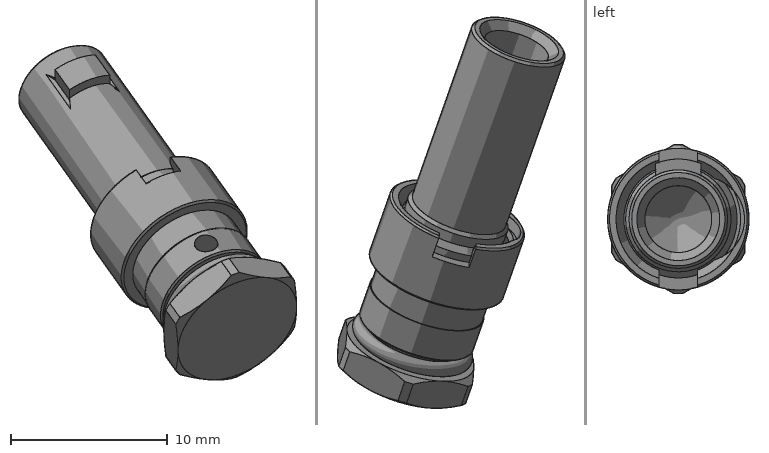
import cadquery as cq
import math

TOTAL_LENGTH = 24.63

TUBE_RADIUS = 3.14
TUBE_END = 12.49
TIP_CHAMFER = 0.17
BORE_RADIUS = 2.13
BORE_DEPTH = 21.5
BORE_TIP_ANGLE = 118.0
MOUTH_RADIUS = 2.64
MOUTH_DEPTH = MOUTH_RADIUS - BORE_RADIUS

SHOULDER_RADIUS = 3.36
SHOULDER_START = TUBE_END + SHOULDER_RADIUS - TUBE_RADIUS
CONE_START = 13.38
CORE_RADIUS = 3.75
CONE_END = CONE_START + CORE_RADIUS - SHOULDER_RADIUS

COLLAR_START = 12.77
COLLAR_END = 17.32
COLLAR_RADIUS = 9.03 / 2
COLLAR_CHAMFER = 0.13
CAVITY_MOUTH_RADIUS = 3.97
CAVITY_FLOOR_RADIUS = 3.47
CAVITY_END = CONE_START + CAVITY_FLOOR_RADIUS - SHOULDER_RADIUS
KEY_SLOT_WIDTH = 2.47
KEY_SLOT_END = 14.25
SIDE_POCKET_OFFSET = 1.5
SIDE_POCKET_RADIUS = 2.72

BAND_START = 19.18
BAND_END = 21.45
BAND_RADIUS = 3.82
BAND_CHAMFER = 0.12
NECK_RADIUS = 3.2
HOLE_X = 20.27
HOLE_DIAMETER = 1.48
HOLE_DEPTH = BAND_RADIUS

HEX_LENGTH = 2.0
HEX_START = TOTAL_LENGTH - HEX_LENGTH
HEX_FLATS = 8.5
HEX_CORNER_DIAMETER = 9.5
HEX_CHAMFER = 0.3
RING_SECTION_RADIUS = 0.485
RING_OUTER_RADIUS = 4.0
RING_BEDDING = 0.02

LUG_START = 1.93
LUG_END = 3.96
LUG_WIDTH = 2.88
LUG_RADIUS = 3.83
FLAT_START = 1.25
FLAT_END = 4.71
FLAT_WIDTH = 3.48
FLAT_HEIGHT = math.sqrt(TUBE_RADIUS**2 - (FLAT_WIDTH / 2) ** 2)


def revolve(points):
    """Turn a closed (x, radius) outline about the X axis."""
    profile = cq.Workplane("XY").polyline(points).close()
    return profile.revolve(360, (0, 0, 0), (1, 0, 0))


def cylinder(start, end, radius):
    """Solid cylinder on the X axis between two stations."""
    return cq.Workplane("YZ").workplane(offset=start).circle(radius).extrude(end - start)


def block(x_range, y_range, z_range):
    """Axis-aligned box between the given limits."""
    limits = (x_range, y_range, z_range)
    sizes = [high - low for low, high in limits]
    corner = [low for low, high in limits]
    return cq.Workplane("XY").box(*sizes, centered=False).translate(tuple(corner))


def core():
    """Tube, shoulder, cone, band and neck as one turned piece."""
    return revolve([
        (0, 0),
        (0, TUBE_RADIUS - TIP_CHAMFER),
        (TIP_CHAMFER, TUBE_RADIUS),
        (TUBE_END, TUBE_RADIUS),
        (SHOULDER_START, SHOULDER_RADIUS),
        (CONE_START, SHOULDER_RADIUS),
        (CONE_END, CORE_RADIUS),
        (BAND_START, CORE_RADIUS),
        (BAND_START, BAND_RADIUS),
        (BAND_END - BAND_CHAMFER, BAND_RADIUS),
        (BAND_END, BAND_RADIUS - BAND_CHAMFER),
        (BAND_END, NECK_RADIUS),
        (HEX_START, NECK_RADIUS),
        (HEX_START, 0),
    ])


def collar():
    """Sleeve with a tapered mouth, two key slots and a stepped round pocket toward -Y."""
    sleeve = revolve([
        (COLLAR_START, CAVITY_MOUTH_RADIUS),
        (COLLAR_START, COLLAR_RADIUS - COLLAR_CHAMFER),
        (COLLAR_START + COLLAR_CHAMFER, COLLAR_RADIUS),
        (COLLAR_END - COLLAR_CHAMFER, COLLAR_RADIUS),
        (COLLAR_END, COLLAR_RADIUS - COLLAR_CHAMFER),
        (COLLAR_END, CAVITY_FLOOR_RADIUS),
        (CAVITY_END, CAVITY_FLOOR_RADIUS),
    ])
    slots = block(
        (COLLAR_START, KEY_SLOT_END),
        (-KEY_SLOT_WIDTH / 2, KEY_SLOT_WIDTH / 2),
        (-COLLAR_RADIUS, COLLAR_RADIUS),
    )
    side_shift = (0, -SIDE_POCKET_OFFSET, 0)
    pocket = cylinder(COLLAR_START, CAVITY_END, SIDE_POCKET_RADIUS).translate(side_shift)
    deep_pocket = cylinder(COLLAR_START, KEY_SLOT_END, SIDE_POCKET_RADIUS).translate(side_shift)
    step = cylinder(COLLAR_START, KEY_SLOT_END, CAVITY_MOUTH_RADIUS)
    deep_pocket = deep_pocket.intersect(step)
    return sleeve.cut(slots).cut(pocket).cut(deep_pocket)


def hex_head():
    """Hexagon with flats facing +Y and -Y, turned corners and chamfered ends."""
    across_corners = HEX_FLATS / math.cos(math.pi / 6)
    hexagon = (
        cq.Workplane("YZ")
        .workplane(offset=HEX_START)
        .polygon(6, across_corners)
        .extrude(HEX_LENGTH)
        .rotate((0, 0, 0), (1, 0, 0), 90)
    )
    corner_radius = HEX_CORNER_DIAMETER / 2
    envelope = revolve([
        (HEX_START, 0),
        (HEX_START, HEX_FLATS / 2),
        (HEX_START + HEX_CHAMFER, corner_radius),
        (TOTAL_LENGTH - HEX_CHAMFER, corner_radius),
        (TOTAL_LENGTH, HEX_FLATS / 2),
        (TOTAL_LENGTH, 0),
    ])
    return hexagon.intersect(envelope)


def sealing_ring():
    """O-ring seated on the neck; its side beds slightly into the head."""
    center_radius = RING_OUTER_RADIUS - RING_SECTION_RADIUS
    section = (
        cq.Workplane("XY")
        .center(HEX_START + RING_BEDDING - RING_SECTION_RADIUS, center_radius)
        .circle(RING_SECTION_RADIUS)
    )
    return section.revolve(360, (0, -center_radius, 0), (1, -center_radius, 0))


def lug():
    """Key on top of the tube with a round crown."""
    return cylinder(LUG_START, LUG_END, LUG_RADIUS).intersect(block(
        (LUG_START, LUG_END),
        (-LUG_WIDTH / 2, LUG_WIDTH / 2),
        (BORE_RADIUS, LUG_RADIUS),
    ))


def lug_flat(side):
    """Cutter for the trapezoidal flat along one side (+1 or -1) of the lug."""
    inner_y = side * LUG_WIDTH / 2
    outer_y = side * FLAT_WIDTH / 2
    return (
        cq.Workplane("XY")
        .workplane(offset=FLAT_HEIGHT)
        .polyline([
            (FLAT_START, outer_y),
            (FLAT_END, outer_y),
            (LUG_END, inner_y),
            (LUG_START, inner_y),
        ])
        .close()
        .extrude(TUBE_RADIUS - FLAT_HEIGHT)
    )


def bore():
    """Drilled bore with a countersunk mouth and a conical bottom."""
    tip_length = BORE_RADIUS / math.tan(math.radians(BORE_TIP_ANGLE / 2))
    return revolve([
        (0, 0),
        (0, MOUTH_RADIUS),
        (MOUTH_DEPTH, BORE_RADIUS),
        (BORE_DEPTH, BORE_RADIUS),
        (BORE_DEPTH + tip_length, 0),
    ])


def inspection_hole():
    """Radial hole from the top of the band into the bore."""
    hole = cq.Workplane("XY").center(HOLE_X, 0).circle(HOLE_DIAMETER / 2)
    return hole.extrude(HOLE_DEPTH)


body = core()
for side in (1, -1):
    body = body.cut(lug_flat(side))
for added_part in (lug(), collar(), hex_head(), sealing_ring()):
    body = body.union(added_part)
result = body.cut(bore()).cut(inspection_hole())